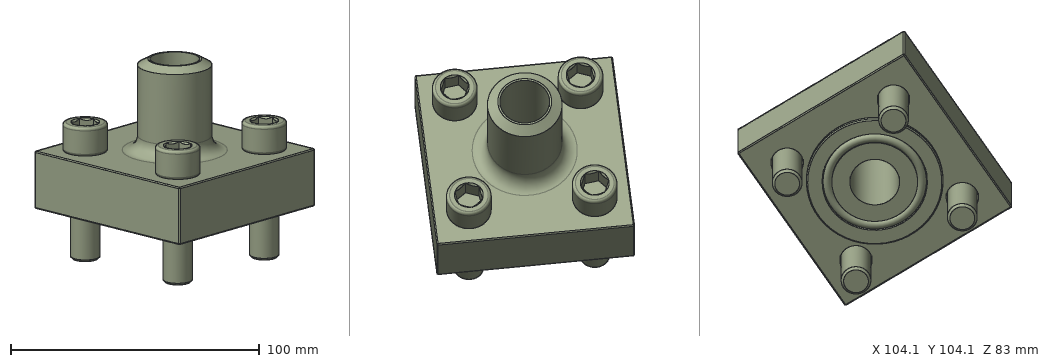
import cadquery as cq
import math

PLATE_SIDE = 80.0
PLATE_THICKNESS = 24.0
PLATE_CHAMFER = 0.5
PLATE_TURN = 22.5

PIPE_DIAMETER = 30.0
BORE_DIAMETER = 20.0
PIPE_HEIGHT = 38.0
NECK_FILLET = 6.1
BEVEL_HEIGHT = 2.4
LAND_DIAMETER = 21.7

FACE_DIAMETER = 55.0
FACE_HEIGHT = 2.0
FACE_CHAMFER = 0.5
GROOVE_INNER_DIAMETER = 34.5
GROOVE_OUTER_DIAMETER = 42.3
RING_SECTION = 3.5
RING_PROTRUSION = 0.9
GROOVE_DEPTH = RING_SECTION - RING_PROTRUSION

SCREW_COUNT = 4
SCREW_SPACING = 50.9
SCREW_CIRCLE_RADIUS = SCREW_SPACING / math.sqrt(2)
FIRST_SCREW_ANGLE = 45.0 + PLATE_TURN
CLEARANCE_DIAMETER = 13.0
SHANK_DIAMETER = 12.0
SHANK_LENGTH = 45.0
SHANK_CHAMFER = 1.0
HEAD_DIAMETER = 18.0
HEAD_HEIGHT = 12.0
HEAD_TOP_FILLET = 1.2
HEAD_BOTTOM_FILLET = 0.9
SOCKET_FLATS = 10.0
SOCKET_SIDES = 6
SOCKET_CORNERS = SOCKET_FLATS / math.cos(math.pi / SOCKET_SIDES)
SOCKET_DEPTH = 7.5
SOCKET_BEVEL = 0.78

PLATE_TOP = PLATE_THICKNESS
PIPE_TOP = PLATE_TOP + PIPE_HEIGHT
FACE_BOTTOM = -FACE_HEIGHT


def screw_position(index):
    """Centre of one screw on the square pattern."""
    angle = math.radians(FIRST_SCREW_ANGLE + index * 360.0 / SCREW_COUNT)
    return (SCREW_CIRCLE_RADIUS * math.cos(angle), SCREW_CIRCLE_RADIUS * math.sin(angle))


def make_plate():
    """Square plate with every edge chamfered."""
    return (
        cq.Workplane("XY")
        .box(PLATE_SIDE, PLATE_SIDE, PLATE_THICKNESS, centered=(True, True, False))
        .edges()
        .chamfer(PLATE_CHAMFER)
        .rotate((0, 0, 0), (0, 0, 1), PLATE_TURN)
    )


def make_neck():
    """Revolved pipe with a flared foot and a bevelled weld end."""
    pipe_radius = PIPE_DIAMETER / 2
    land_radius = LAND_DIAMETER / 2
    arc_offset = NECK_FILLET * (1 - math.sqrt(0.5))
    return (
        cq.Workplane("XZ")
        .moveTo(0, 0)
        .lineTo(pipe_radius + NECK_FILLET, 0)
        .lineTo(pipe_radius + NECK_FILLET, PLATE_TOP)
        .threePointArc(
            (pipe_radius + arc_offset, PLATE_TOP + arc_offset),
            (pipe_radius, PLATE_TOP + NECK_FILLET),
        )
        .lineTo(pipe_radius, PIPE_TOP - BEVEL_HEIGHT)
        .lineTo(land_radius, PIPE_TOP)
        .lineTo(0, PIPE_TOP)
        .close()
        .revolve(360, (0, 0, 0), (0, 1, 0))
    )


def make_sealing_face():
    """Low disc under the plate with a chamfered rim."""
    return (
        cq.Workplane("XY")
        .workplane(offset=FACE_BOTTOM)
        .circle(FACE_DIAMETER / 2)
        .extrude(FACE_HEIGHT)
        .faces("<Z")
        .chamfer(FACE_CHAMFER)
    )


def make_flange():
    """Plate, neck and sealing face with bore, O-ring groove and screw holes."""
    blank = make_plate().union(make_neck()).union(make_sealing_face())
    bore = (
        cq.Workplane("XY")
        .workplane(offset=FACE_BOTTOM)
        .circle(BORE_DIAMETER / 2)
        .extrude(PIPE_TOP - FACE_BOTTOM)
    )
    groove = (
        cq.Workplane("XY")
        .workplane(offset=FACE_BOTTOM)
        .circle(GROOVE_OUTER_DIAMETER / 2)
        .circle(GROOVE_INNER_DIAMETER / 2)
        .extrude(GROOVE_DEPTH)
    )
    screw_holes = (
        cq.Workplane("XY")
        .pushPoints([screw_position(i) for i in range(SCREW_COUNT)])
        .circle(CLEARANCE_DIAMETER / 2)
        .extrude(PLATE_THICKNESS)
    )
    return blank.cut(bore).cut(groove).cut(screw_holes)


def make_o_ring():
    """Round-cord ring that hugs the groove's inner wall and rests on its floor."""
    cord_radius = RING_SECTION / 2
    return cq.Solid.makeTorus(
        GROOVE_INNER_DIAMETER / 2 + cord_radius,
        cord_radius,
        pnt=cq.Vector(0, 0, FACE_BOTTOM + GROOVE_DEPTH - cord_radius),
    )


def make_socket():
    """Hexagonal recess with a conical lead-in, opening at the top of the head."""
    hexagon = (
        cq.Workplane("XY")
        .workplane(offset=HEAD_HEIGHT - SOCKET_DEPTH)
        .polygon(SOCKET_SIDES, SOCKET_CORNERS)
        .extrude(SOCKET_DEPTH)
    )
    lead_in = cq.Workplane(
        cq.Solid.makeCone(
            SOCKET_CORNERS / 2 - SOCKET_BEVEL,
            SOCKET_CORNERS / 2,
            SOCKET_BEVEL,
            pnt=cq.Vector(0, 0, HEAD_HEIGHT - SOCKET_BEVEL),
        )
    )
    return hexagon.union(lead_in)


def make_screw(index):
    """Cap screw seated on the plate top; each copy is turned with its place on the pattern."""
    head = (
        cq.Workplane("XY")
        .circle(HEAD_DIAMETER / 2)
        .extrude(HEAD_HEIGHT)
        .faces(">Z").edges().fillet(HEAD_TOP_FILLET)
        .faces("<Z").edges().fillet(HEAD_BOTTOM_FILLET)
    )
    shank = (
        cq.Workplane("XY")
        .circle(SHANK_DIAMETER / 2)
        .extrude(-SHANK_LENGTH)
        .faces("<Z")
        .chamfer(SHANK_CHAMFER)
    )
    x, y = screw_position(index)
    return (
        head.union(shank)
        .cut(make_socket())
        .rotate((0, 0, 0), (0, 0, 1), index * 360.0 / SCREW_COUNT)
        .translate((x, y, PLATE_TOP))
    )


flange = make_flange()
o_ring = make_o_ring()
screws = [make_screw(i) for i in range(SCREW_COUNT)]

result = cq.Compound.makeCompound(
    [flange.solids().val(), o_ring, *[screw.solids().val() for screw in screws]]
)